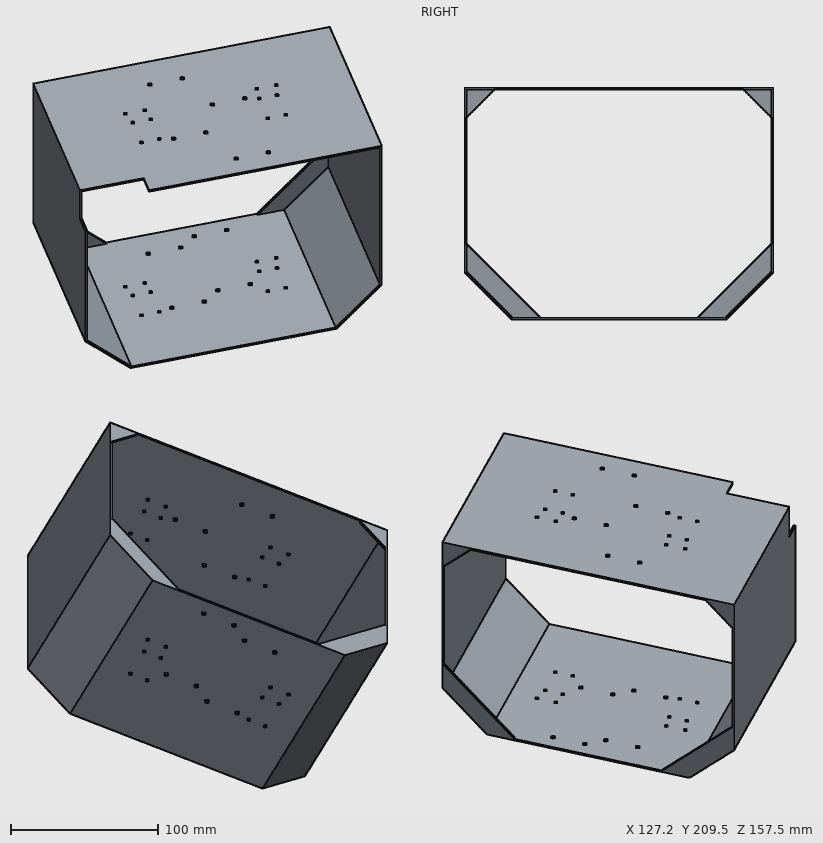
import cadquery as cq

LENGTH_X = 127.2
WIDTH_Y = 209.5
HEIGHT_Z = 157.5

WALL = 1.5
LOWER_BEVEL = 32.0

LOWER_CORNER_LEG = 50.0
UPPER_CORNER_LEG = 18.9

NOTCH_LENGTH = 13.0
NOTCH_WIDTH = 45.0
NOTCH_DEPTH = 26.0

SMALL_HOLE_DIAMETER = 2.0
PAIR_X = -16.3
PAIR_Y = (39.6, 53.2)
SQUARE_X = (-6.3, 14.9)
SQUARE_Y = (38.3, 51.0)

MOUNT_HOLE_DIAMETER = 2.7
MOUNT_SPACING_X = 57.8
MOUNT_Y = (6.0, 29.0)
ROOF_MOUNT_START_X = {1: -9.2, -1: -40.7}
FLOOR_MOUNT_START_X = {1: -53.2, -1: -44.6}

X_MIN = -LENGTH_X / 2
X_MAX = LENGTH_X / 2
Y_MAX = WIDTH_Y / 2
Z_MAX = HEIGHT_Z / 2


def bevelled_prism(half_width, half_height, lower_leg, upper_leg, start_x, length):
    """Prism along X whose rectangular section may have bevelled corners."""
    right_side = [(half_width - lower_leg, -half_height), (half_width, -half_height + lower_leg)]
    if upper_leg > 0:
        right_side.append((half_width, half_height - upper_leg))
    right_side.append((half_width - upper_leg, half_height))
    left_side = [(-y, z) for y, z in reversed(right_side)]
    section = cq.Workplane("YZ", origin=(start_x, 0, 0)).polyline(right_side + left_side)
    return section.close().extrude(length)


def make_shell():
    """Thin tube, open at +X, with a plate framing the opening at -X."""
    inner_y = Y_MAX - WALL
    inner_z = Z_MAX - WALL
    inner_bevel = LOWER_BEVEL - WALL * (2 - 2 ** 0.5)
    outside = bevelled_prism(Y_MAX, Z_MAX, LOWER_BEVEL, 0, X_MIN, LENGTH_X)
    cavity = bevelled_prism(inner_y, inner_z, inner_bevel, 0, X_MIN + WALL, LENGTH_X)
    opening = bevelled_prism(inner_y, inner_z, LOWER_CORNER_LEG, UPPER_CORNER_LEG, X_MIN, WALL)
    return outside.cut(cavity).cut(opening)


def make_notch():
    return cq.Workplane("XY").box(NOTCH_LENGTH, NOTCH_WIDTH, NOTCH_DEPTH, centered=False).translate(
        (X_MAX - NOTCH_LENGTH, -Y_MAX, Z_MAX - NOTCH_DEPTH)
    )


def hole_cutters(points, diameter, bottom_z, depth):
    plane = cq.Workplane("XY", origin=(0, 0, bottom_z))
    return plane.pushPoints(points).circle(diameter / 2).extrude(depth)


def small_hole_points():
    one_side = [(PAIR_X, y) for y in PAIR_Y]
    one_side += [(x, y) for x in SQUARE_X for y in SQUARE_Y]
    return [(x, side * y) for side in (1, -1) for x, y in one_side]


def mount_hole_points(start_x_by_side):
    return [
        (start_x + offset_x, side * y)
        for side, start_x in start_x_by_side.items()
        for offset_x in (0, MOUNT_SPACING_X)
        for y in MOUNT_Y
    ]


result = make_shell().cut(make_notch())
result = result.cut(hole_cutters(small_hole_points(), SMALL_HOLE_DIAMETER, -Z_MAX, HEIGHT_Z))
for start_x_by_side, plate_bottom in (
    (ROOF_MOUNT_START_X, Z_MAX - WALL),
    (FLOOR_MOUNT_START_X, -Z_MAX),
):
    mount_points = mount_hole_points(start_x_by_side)
    result = result.cut(hole_cutters(mount_points, MOUNT_HOLE_DIAMETER, plate_bottom, WALL))